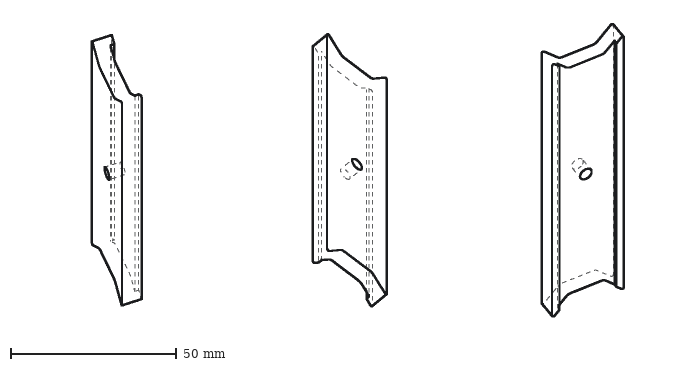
import cadquery as cq
import math

length = 106.5
width = 25.0
depth = 6.4

channel_width = 20.0
channel_depth = 1.3

notch_depth = 5.5
notch_corner_radius = 2.2
tip_radius = 0.5

hole_diameter = 4.0

tip_shortening = math.sqrt(2) * tip_radius
sharp_tip_z = length / 2 + tip_shortening
notch_floor_z = length / 2 - notch_depth
notch_floor_half = width / 2 - (sharp_tip_z - notch_floor_z)


def notched_plate():
    """Plate with both end notches, its tips and notch corners rounded."""
    outline = [
        (-width / 2, sharp_tip_z),
        (-notch_floor_half, notch_floor_z),
        (notch_floor_half, notch_floor_z),
        (width / 2, sharp_tip_z),
        (width / 2, -sharp_tip_z),
        (notch_floor_half, -notch_floor_z),
        (-notch_floor_half, -notch_floor_z),
        (-width / 2, -sharp_tip_z),
    ]
    plate = cq.Workplane("XZ").polyline(outline).close().extrude(depth / 2, both=True)
    notch_region = cq.selectors.BoxSelector(
        (-width / 4 - notch_floor_half / 2, -depth, -length),
        (width / 4 + notch_floor_half / 2, depth, length),
    )
    plate = plate.edges("|Y").edges(notch_region).fillet(notch_corner_radius)
    return plate.edges("|Y and (<X or >X)").fillet(tip_radius)


def back_channel():
    """Cutter for the full-length channel in the +Y face."""
    center_y = (depth - channel_depth) / 2
    return (
        cq.Workplane("XY")
        .box(channel_width, channel_depth, length)
        .translate((0, center_y, 0))
    )


def center_hole():
    """Cutter for the through hole in the middle of the plate."""
    return cq.Workplane("XZ").circle(hole_diameter / 2).extrude(depth, both=True)


result = notched_plate().cut(back_channel()).cut(center_hole())